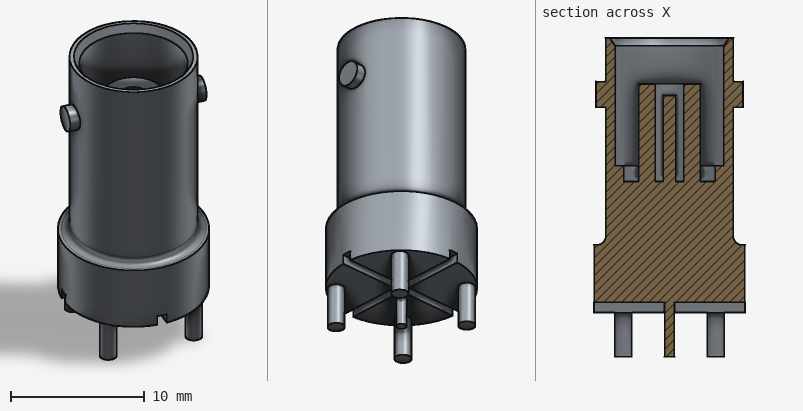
import cadquery as cq

total_height = 23.88
base_radius = 5.672
base_bottom = 3.32
base_top = 8.4
barrel_radius = 4.8
fillet_radius = 0.62

bore_radius = 4.05
mouth_radius = 4.47
mouth_depth = 0.6
bore_floor = 14.33
recess_radius = 3.41
recess_floor = 13.13
insulator_radius = 2.35
insulator_top = 20.45
insulator_hole_radius = 1.05
contact_radius = 0.5
contact_top = 19.58

lug_height = 19.65
lug_radius = 0.98
lug_reach = 5.52

leg_radius = 0.65
leg_offset = 3.46
tail_radius = 0.38
slot_width = 2 * tail_radius
slot_depth = 0.76


def cylinder(radius, bottom, top):
    return cq.Workplane("XY").workplane(offset=bottom).circle(radius).extrude(top - bottom)


def make_shell():
    """Base and barrel, joined by a concave fillet."""
    profile = (
        cq.Workplane("XZ")
        .moveTo(0, base_bottom)
        .lineTo(base_radius, base_bottom)
        .lineTo(base_radius, base_top)
        .lineTo(barrel_radius + fillet_radius, base_top)
        .radiusArc((barrel_radius, base_top + fillet_radius), fillet_radius)
        .lineTo(barrel_radius, total_height)
        .lineTo(0, total_height)
        .close()
    )
    return profile.revolve(360, (0, 0, 0), (0, 1, 0))


def make_lugs():
    """One bar across the barrel; boring the socket leaves the two lugs."""
    return (
        cq.Workplane("XZ")
        .center(0, lug_height)
        .circle(lug_radius)
        .extrude(lug_reach, both=True)
    )


def make_socket():
    """Stepped bore with a flared mouth."""
    profile = (
        cq.Workplane("XZ")
        .moveTo(0, recess_floor)
        .lineTo(recess_radius, recess_floor)
        .lineTo(recess_radius, bore_floor)
        .lineTo(bore_radius, bore_floor)
        .lineTo(bore_radius, total_height - mouth_depth)
        .lineTo(mouth_radius, total_height)
        .lineTo(0, total_height)
        .close()
    )
    return profile.revolve(360, (0, 0, 0), (0, 1, 0))


def make_insulator():
    """Insulator sleeve around the centre contact."""
    sleeve = cylinder(insulator_radius, recess_floor, insulator_top)
    hole = cylinder(insulator_hole_radius, recess_floor, insulator_top)
    contact = cylinder(contact_radius, recess_floor, contact_top)
    return sleeve.cut(hole).union(contact)


def make_slots():
    """Crossed slots over the full width of the underside."""
    slot = (
        cq.Workplane("XY")
        .workplane(offset=base_bottom)
        .rect(2 * base_radius, slot_width)
        .extrude(slot_depth)
    )
    return slot.union(slot.rotate((0, 0, 0), (0, 0, 1), 90))


def make_legs():
    """Four mounting legs at the corners of a square."""
    return (
        cq.Workplane("XY")
        .rect(2 * leg_offset, 2 * leg_offset, forConstruction=True)
        .vertices()
        .circle(leg_radius)
        .extrude(base_bottom)
    )


contact_tail = cylinder(tail_radius, 0, base_bottom + slot_depth)

result = (
    make_shell()
    .union(make_lugs())
    .cut(make_socket())
    .cut(make_slots())
    .union(make_insulator())
    .union(make_legs())
    .union(contact_tail)
)